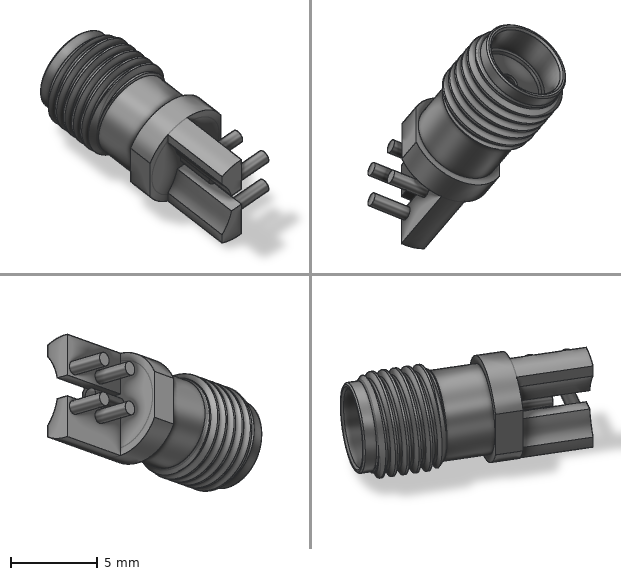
import cadquery as cq
import math

LENGTH = 14.08

BARREL_RADIUS = 2.66
RIM_CHAMFER = 0.1

THREAD_START = 0.77
THREAD_END = 5.0
ROOT_RADIUS = 2.75
CREST_RADIUS = 3.1
PITCH = 0.7
CREST_WIDTH = 0.14
FLANK_ANGLE = 30.0
FIRST_CREST = 0.27
RIDGE_TURNS = 8
ROOT_OVERLAP = 0.05

FLANGE_START = 7.85
FLANGE_END = 9.5
FLANGE_RADIUS = 3.133
FLANGE_WIDTH = 5.6

LEG_FRONT = -1.4
LEG_BACK = 0.14
LEG_GAP = 1.27
SCOOP_RADIUS = 3.17
SCOOP_EDGE = 2.11

PEG_RADIUS = 0.41
PEG_TIP = 2.49
PEG_X = (11.28, 13.49)
PEG_Z = 1.21
PIN_RADIUS = 0.41
PIN_END = 11.94

BORE_RADIUS = 2.31
BORE_DEPTH = 1.9
MOUTH_CHAMFER = 0.13
SEAT_RADIUS = 2.1
DISC_RADIUS = 2.01
SEAT_DEPTH = 0.17
CONTACT_RADIUS = 0.49
CONTACT_CHAMFER = 0.08
CONTACT_DEPTH = 0.85
CONTACT_TIP_DEPTH = 0.28


def revolve_about_x(points):
    """Turn a profile of (x, radius) points about the X axis."""
    return cq.Workplane("XY").polyline(points).close().revolve(360, (0, 0, 0), (1, 0, 0))


def x_cylinder(radius, start, end):
    return cq.Workplane("YZ", origin=(start, 0, 0)).circle(radius).extrude(end - start)


def make_barrel():
    """Plain barrel with the slightly raised root of the thread."""
    barrel = x_cylinder(BARREL_RADIUS, 0, FLANGE_END)
    barrel = barrel.faces("<X").chamfer(RIM_CHAMFER)
    root = x_cylinder(ROOT_RADIUS, THREAD_START, THREAD_END)
    root = root.faces("<X or >X").chamfer(ROOT_RADIUS - BARREL_RADIUS)
    return barrel.union(root)


def make_thread():
    """Right-handed ridge, trimmed by 45 degree ends."""
    inner_radius = ROOT_RADIUS - ROOT_OVERLAP
    half_crest = CREST_WIDTH / 2
    half_base = half_crest + (CREST_RADIUS - inner_radius) * math.tan(math.radians(FLANK_ANGLE))
    helix = cq.Wire.makeHelix(PITCH, RIDGE_TURNS * PITCH, inner_radius)
    ridge = (
        cq.Workplane("XZ")
        .polyline([
            (inner_radius, -half_base),
            (CREST_RADIUS, -half_crest),
            (CREST_RADIUS, half_crest),
            (inner_radius, half_base),
        ])
        .close()
        .sweep(cq.Workplane(helix), isFrenet=True)
    )
    ridge = ridge.rotate((0, 0, 0), (0, 1, 0), 90).rotate((0, 0, 0), (1, 0, 0), 180)
    ridge = ridge.translate((FIRST_CREST, 0, 0))

    half_length = (THREAD_END - THREAD_START) / 2
    envelope = revolve_about_x([
        (THREAD_START, 0),
        (THREAD_START, BARREL_RADIUS),
        (THREAD_START + half_length, BARREL_RADIUS + half_length),
        (THREAD_END, BARREL_RADIUS),
        (THREAD_END, 0),
    ])
    return ridge.intersect(envelope)


def make_flange():
    flats = cq.Workplane("XY").box(2 * LENGTH, FLANGE_WIDTH, 2 * FLANGE_RADIUS)
    return x_cylinder(FLANGE_RADIUS, FLANGE_START, FLANGE_END).intersect(flats)


def make_legs():
    length = LENGTH - FLANGE_END
    thickness = LEG_BACK - LEG_FRONT
    slab = (
        cq.Workplane("XY", origin=(FLANGE_END, LEG_FRONT, -FLANGE_RADIUS))
        .box(length, thickness, 2 * FLANGE_RADIUS, centered=False)
    )
    legs = x_cylinder(FLANGE_RADIUS, FLANGE_END, LENGTH).intersect(slab)
    gap = cq.Workplane("XY", origin=(FLANGE_END, 0, 0)).box(
        length, 2 * FLANGE_RADIUS, LEG_GAP, centered=(False, True, True)
    )
    scoop_y = LEG_FRONT - math.sqrt(SCOOP_RADIUS**2 - SCOOP_EDGE**2)
    scoop = x_cylinder(SCOOP_RADIUS, FLANGE_END, LENGTH).translate((0, scoop_y, 0))
    return legs.cut(gap).cut(scoop)


def make_pegs():
    centres = [(x, z) for x in PEG_X for z in (-PEG_Z, PEG_Z)]
    return (
        cq.Workplane("XZ")
        .pushPoints(centres)
        .circle(PEG_RADIUS)
        .extrude(-PEG_TIP)
    )


def make_socket():
    """Material removed from the mouth: bore, tapered seat and contact hole."""
    seat_floor = BORE_DEPTH + SEAT_DEPTH
    contact_floor = seat_floor + CONTACT_DEPTH
    return revolve_about_x([
        (0, 0),
        (0, BORE_RADIUS + MOUTH_CHAMFER),
        (MOUTH_CHAMFER, BORE_RADIUS),
        (BORE_DEPTH, BORE_RADIUS),
        (BORE_DEPTH, SEAT_RADIUS),
        (seat_floor, DISC_RADIUS),
        (seat_floor, CONTACT_RADIUS + CONTACT_CHAMFER),
        (seat_floor + CONTACT_CHAMFER, CONTACT_RADIUS),
        (contact_floor, CONTACT_RADIUS),
        (contact_floor + CONTACT_TIP_DEPTH, 0),
    ])


pin = x_cylinder(PIN_RADIUS, FLANGE_START, PIN_END)

result = (
    make_barrel()
    .union(make_thread())
    .union(make_flange())
    .union(make_legs())
    .union(make_pegs())
    .union(pin)
    .cut(make_socket())
)